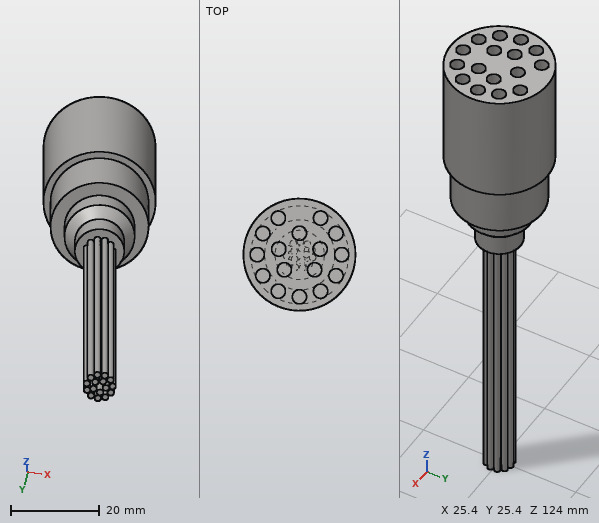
import cadquery as cq
import math

total_height = 124.0
head_diameter = 25.4
head_height = 28.5
shoulder_diameter = 22.2
shoulder_height = 12.8
neck_diameter = 15.9
neck_height = 5.0
cone_height = 2.5
collar_diameter = 11.2
collar_height = 5.2

hole_diameter = 3.2
hole_depth = 12.4
outer_hole_radius = 9.5
outer_hole_slots = 12
empty_slot_angle = 90
inner_hole_radius = 4.8
inner_hole_angles = [15, 90, 165, 225, 315]

wire_diameter = 1.5
wire_embed = 1.2
outer_wire_count = 11
outer_wire_radius = 3.0
outer_wire_start_angle = 21
inner_wire_count = 5
inner_wire_radius = 1.5
inner_wire_start_angle = 3

head_bottom = total_height - head_height
shoulder_bottom = head_bottom - shoulder_height
neck_bottom = shoulder_bottom - neck_height
cone_bottom = neck_bottom - cone_height
collar_bottom = cone_bottom - collar_height


def polar_points(radius, angles):
    """Points on a circle about the Z axis, at the given angles in degrees."""
    return [
        (radius * math.cos(math.radians(angle)), radius * math.sin(math.radians(angle)))
        for angle in angles
    ]


def even_angles(count, start_angle):
    """Equally spaced angles around a full turn."""
    return [start_angle + i * 360 / count for i in range(count)]


def make_body():
    """Turned body: head, shoulder, neck, cone and collar about the Z axis."""
    profile = [
        (0, collar_bottom),
        (collar_diameter / 2, collar_bottom),
        (collar_diameter / 2, cone_bottom),
        (neck_diameter / 2, neck_bottom),
        (neck_diameter / 2, shoulder_bottom),
        (shoulder_diameter / 2, shoulder_bottom),
        (shoulder_diameter / 2, head_bottom),
        (head_diameter / 2, head_bottom),
        (head_diameter / 2, total_height),
        (0, total_height),
    ]
    return cq.Workplane("XZ").polyline(profile).close().revolve(360, (0, 0), (0, 1))


def make_contact_holes():
    """Blind holes in an outer ring with one empty slot and an inner group."""
    outer_angles = [
        angle for angle in even_angles(outer_hole_slots, 0) if angle != empty_slot_angle
    ]
    centers = polar_points(outer_hole_radius, outer_angles)
    centers += polar_points(inner_hole_radius, inner_hole_angles)
    return (
        cq.Workplane("XY", origin=(0, 0, total_height))
        .pushPoints(centers)
        .circle(hole_diameter / 2)
        .extrude(-hole_depth)
    )


def make_wires():
    """Straight wires in two rings, each running up into the collar."""
    outer_angles = even_angles(outer_wire_count, outer_wire_start_angle)
    inner_angles = even_angles(inner_wire_count, inner_wire_start_angle)
    centers = polar_points(outer_wire_radius, outer_angles)
    centers += polar_points(inner_wire_radius, inner_angles)
    return (
        cq.Workplane("XY")
        .pushPoints(centers)
        .circle(wire_diameter / 2)
        .extrude(collar_bottom + wire_embed)
    )


result = make_body().union(make_wires()).cut(make_contact_holes())